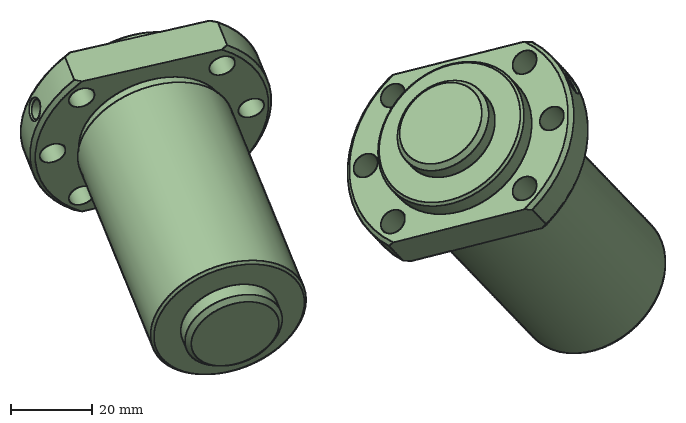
import cadquery as cq
import math

shaft_length = 90.0
core_diameter = 20.0
collar_diameter = 25.0
collar_chamfer = 1.25
collar_gap = 0.2

shaft_overhang = 5.0
nut_start = shaft_overhang
nut_end = shaft_length - shaft_overhang
nut_diameter = 40.0
nut_chamfer = 0.67

neck_diameter = 37.6
neck_length = 3.0

pilot_length = 5.0
flange_start = nut_start + pilot_length
flange_thickness = 10.0
flange_end = flange_start + flange_thickness
flange_diameter = 62.0
flange_flat_width = 48.0
flange_chamfer = 1.05

mount_hole_diameter = 6.6
mount_circle_radius = 25.5
mount_hole_spacing = 45.0

oil_hole_diameter = 4.92
oil_hole_mouth_diameter = 6.0
oil_hole_angle = mount_hole_spacing / 2


def cylinder_along_x(start, end, diameter):
    return cq.Workplane("YZ", origin=(start, 0, 0)).circle(diameter / 2).extrude(end - start)


def make_shaft():
    collar_length = shaft_overhang - collar_gap
    core = cylinder_along_x(0, shaft_length, core_diameter)
    front_collar = cylinder_along_x(0, collar_length, collar_diameter)
    rear_collar = cylinder_along_x(shaft_length - collar_length, shaft_length, collar_diameter)
    front_collar = front_collar.faces("<X").chamfer(collar_chamfer)
    rear_collar = rear_collar.faces(">X").chamfer(collar_chamfer)
    return core.union(front_collar).union(rear_collar)


def make_flange():
    disc = cylinder_along_x(flange_start, flange_end, flange_diameter)
    disc = disc.faces("<X or >X").chamfer(flange_chamfer)
    flats = cq.Workplane("YZ", origin=(flange_start, 0, 0))
    flats = flats.rect(flange_diameter, flange_flat_width).extrude(flange_thickness)
    return disc.intersect(flats)


def make_mount_holes():
    points = []
    for side in (-1, 1):
        for step in (-1, 0, 1):
            angle = math.radians(step * mount_hole_spacing)
            y = side * mount_circle_radius * math.cos(angle)
            z = mount_circle_radius * math.sin(angle)
            points.append((y, z))
    plane = cq.Workplane("YZ", origin=(flange_start, 0, 0))
    return plane.pushPoints(points).circle(mount_hole_diameter / 2).extrude(flange_thickness)


def make_oil_hole():
    """Hole from the flange rim to the bore, with a 45 degree mouth; it slopes up toward -Y."""
    hole_radius = oil_hole_diameter / 2
    mouth_radius = oil_hole_mouth_diameter / 2
    rim_radius = flange_diameter / 2
    mouth_depth = mouth_radius - hole_radius
    profile = (
        cq.Workplane("XY")
        .lineTo(0, -rim_radius)
        .lineTo(mouth_radius, -rim_radius)
        .lineTo(hole_radius, -rim_radius + mouth_depth)
        .lineTo(hole_radius, 0)
        .close()
    )
    hole = profile.revolve(360, (0, 0, 0), (0, 1, 0))
    hole = hole.rotate((0, 0, 0), (1, 0, 0), -oil_hole_angle)
    return hole.translate((flange_start + flange_thickness / 2, 0, 0))


def make_nut():
    body = cylinder_along_x(nut_start, nut_end, nut_diameter).faces("<X or >X").chamfer(nut_chamfer)
    neck_end = flange_end + neck_length
    neck_cut = cylinder_along_x(flange_end, neck_end, nut_diameter)
    neck_cut = neck_cut.cut(cylinder_along_x(flange_end, neck_end, neck_diameter))
    bore = cylinder_along_x(nut_start, nut_end, core_diameter)
    nut = body.cut(neck_cut).union(make_flange())
    return nut.cut(make_mount_holes()).cut(make_oil_hole()).cut(bore)


shaft = make_shaft()
nut = make_nut()

result = cq.Compound.makeCompound([shaft.solids().val(), nut.solids().val()])